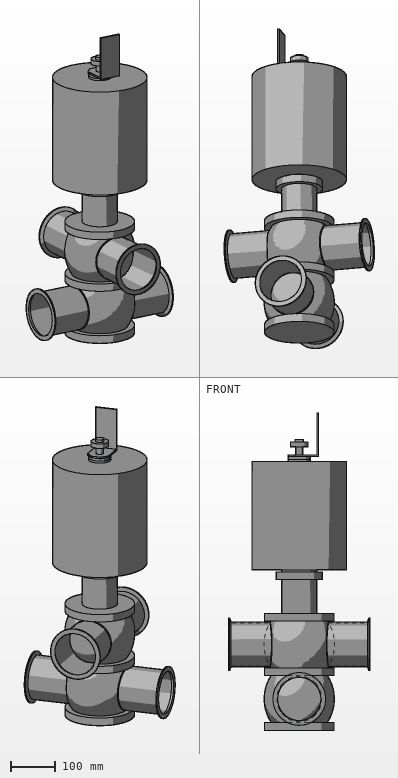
import cadquery as cq

FLANGE_DIA = 157.5
FLANGE_THICKNESS = 17.5
BASE_THICKNESS = 18.5
CHAMBER_HEIGHT = 105.75
CHAMBER_DIA = 159.0
CHAMBER_BULGE_RADIUS = 97.0
LOWER_CHAMBER_Z = BASE_THICKNESS + CHAMBER_HEIGHT / 2
CHAMBER_PITCH = CHAMBER_HEIGHT + FLANGE_THICKNESS
UPPER_CHAMBER_Z = LOWER_CHAMBER_Z + CHAMBER_PITCH
HOUSING_TOP_Z = UPPER_CHAMBER_Z + CHAMBER_HEIGHT / 2 + FLANGE_THICKNESS

NOZZLE_SPAN = 320.0
PIPE_DIA = 101.6
PIPE_BORE = 97.6
FERRULE_DIA = 119.0
FERRULE_RIM = 2.85
FERRULE_TAPER = 3.15

NECK_DIA = 80.0
CLAMP_DIA = 105.0
CLAMP_THICKNESS = 17.5
CLAMP_GAP = 4.5
ACTUATOR_DIA = 214.0
ACTUATOR_HEIGHT = 245.0
ACTUATOR_BOTTOM_Z = 363.0
ACTUATOR_TOP_Z = ACTUATOR_BOTTOM_Z + ACTUATOR_HEIGHT
CLAMP_TOP_Z = ACTUATOR_BOTTOM_Z - CLAMP_GAP

TOTAL_HEIGHT = 717.45
PAD_DIA = 50.0
PAD_HEIGHT = 5.0
WASHER_HEIGHT = 6.0
BRACKET_THICKNESS = 4.0
BRACKET_WIDTH = 50.0
BRACKET_BACK_X = 44.0
BRACKET_CHAMFER = 14.0
STEM_DIA = 16.0
KNOB_DIA = 40.0
KNOB_THICKNESS = 11.0
STEM_TIP_DIA = 19.5
STEM_TIP_HEIGHT = 6.0
STEM_TOP_Z = 658.0
SEAM_Z = ACTUATOR_TOP_Z + PAD_HEIGHT
BRACKET_BOTTOM_Z = SEAM_Z + WASHER_HEIGHT
BRACKET_TOP_Z = BRACKET_BOTTOM_Z + BRACKET_THICKNESS
KNOB_TOP_Z = STEM_TOP_Z - STEM_TIP_HEIGHT
KNOB_BOTTOM_Z = KNOB_TOP_Z - KNOB_THICKNESS


def disc(diameter, bottom_z, top_z):
    """Solid cylinder on the Z axis between two heights."""
    return cq.Workplane("XY").workplane(offset=bottom_z).circle(diameter / 2).extrude(top_z - bottom_z)


def make_chamber():
    """Bulged body of revolution about Z, centred on the origin."""
    half_height = CHAMBER_HEIGHT / 2
    bulge_radius = CHAMBER_DIA / 2
    arc_drop = CHAMBER_BULGE_RADIUS - (CHAMBER_BULGE_RADIUS**2 - half_height**2) ** 0.5
    end_radius = bulge_radius - arc_drop
    return (
        cq.Workplane("XZ")
        .moveTo(0, -half_height)
        .lineTo(end_radius, -half_height)
        .threePointArc((bulge_radius, 0), (end_radius, half_height))
        .lineTo(0, half_height)
        .close()
        .revolve(360, (0, 0, 0), (0, 1, 0))
    )


def make_nozzle():
    """Pipe with a tapered clamp ferrule, running from the origin along +X."""
    end_x = NOZZLE_SPAN / 2
    rim_x = end_x - FERRULE_RIM
    taper_x = rim_x - FERRULE_TAPER
    bore_radius = PIPE_BORE / 2
    pipe_radius = PIPE_DIA / 2
    rim_radius = FERRULE_DIA / 2
    return (
        cq.Workplane("XY")
        .polyline([
            (0, bore_radius),
            (0, pipe_radius),
            (taper_x, pipe_radius),
            (rim_x, rim_radius),
            (end_x, rim_radius),
            (end_x, bore_radius),
        ])
        .close()
        .revolve(360, (0, 0, 0), (1, 0, 0))
    )


def make_ported_chamber(center_z, port_angle):
    """Chamber with two opposite nozzles, turned about Z by port_angle degrees."""
    chamber = make_chamber()
    for side_angle in (0, 180):
        chamber = chamber.union(make_nozzle().rotate((0, 0, 0), (0, 0, 1), side_angle))
    return chamber.rotate((0, 0, 0), (0, 0, 1), port_angle).translate((0, 0, center_z))


def make_valve():
    """Ported chambers, flanges, neck, clamp ring, actuator and its pad."""
    valve = disc(FLANGE_DIA, 0, BASE_THICKNESS)
    for center_z, port_angle in ((LOWER_CHAMBER_Z, 90), (UPPER_CHAMBER_Z, 0)):
        chamber_top_z = center_z + CHAMBER_HEIGHT / 2
        valve = valve.union(make_ported_chamber(center_z, port_angle))
        valve = valve.union(disc(FLANGE_DIA, chamber_top_z, chamber_top_z + FLANGE_THICKNESS))
    valve = valve.union(disc(NECK_DIA, HOUSING_TOP_Z, ACTUATOR_BOTTOM_Z))
    valve = valve.union(disc(CLAMP_DIA, CLAMP_TOP_Z - CLAMP_THICKNESS, CLAMP_TOP_Z))
    valve = valve.union(disc(ACTUATOR_DIA, ACTUATOR_BOTTOM_Z, ACTUATOR_TOP_Z))
    return valve.union(disc(PAD_DIA, ACTUATOR_TOP_Z, SEAM_Z))


def make_bracket():
    """Angle bracket: a foot with two clipped corners and an upright at its back."""
    front_x = -BRACKET_WIDTH / 2
    foot_length = BRACKET_BACK_X - front_x
    foot = (
        cq.Workplane("XY")
        .box(foot_length, BRACKET_WIDTH, BRACKET_THICKNESS, centered=(False, True, False))
        .edges("|Z and <X")
        .chamfer(BRACKET_CHAMFER)
        .translate((front_x, 0, BRACKET_BOTTOM_Z))
    )
    upright = (
        cq.Workplane("XY")
        .box(
            BRACKET_THICKNESS,
            BRACKET_WIDTH,
            TOTAL_HEIGHT - BRACKET_BOTTOM_Z,
            centered=(False, True, False),
        )
        .translate((BRACKET_BACK_X - BRACKET_THICKNESS, 0, BRACKET_BOTTOM_Z))
    )
    return foot.union(upright)


def make_indicator():
    """Washer, bracket, stem, knob and stem tip, resting on the actuator pad."""
    indicator = disc(PAD_DIA, SEAM_Z, BRACKET_BOTTOM_Z).union(make_bracket())
    indicator = indicator.union(disc(STEM_DIA, BRACKET_TOP_Z, KNOB_BOTTOM_Z))
    indicator = indicator.union(disc(KNOB_DIA, KNOB_BOTTOM_Z, KNOB_TOP_Z))
    return indicator.union(disc(STEM_TIP_DIA, KNOB_TOP_Z, STEM_TOP_Z))


valve = make_valve()
indicator = make_indicator()

result = cq.Compound.makeCompound([valve.val(), indicator.val()])